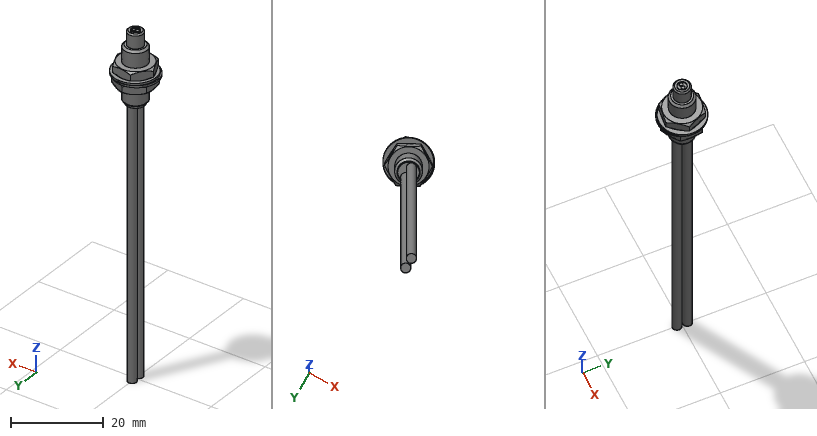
import cadquery as cq
import math

total_height = 88.5
tip_diameter = 4.0
tip_chamfer = 0.35
tip_bore_diameter = 2.2
tip_bore_depth = 0.3
core_diameter = 0.9
core_spacing = 1.0
barrel_diameter = 6.0
barrel_top = 84.9
barrel_bottom = 70.5
barrel_chamfer = 0.5
neck_diameter = 4.7
neck_bottom = 70.0

cable_diameter = 2.2
cable_gap = 0.3

clamp_plane = 77.7
washer_diameter = 11.0
washer_thickness = 0.5
washer_hole_diameter = 6.55
upper_washer_shift = (0.2, 0.0)
lower_washer_shift = (-0.2, -0.2)
nut_across_flats = 9.0
nut_height = 2.4
nut_chamfer_diameter = 8.85
nut_chamfer_angle = 30.0
upper_nut_turn = -7.0
lower_nut_turn = 32.0


def cylinder(diameter, bottom, top):
    return cq.Workplane("XY").workplane(offset=bottom).circle(diameter / 2).extrude(top - bottom)


def make_sensor():
    """Stepped head with two fibre cores in its recessed tip and two cables moulded into its neck."""
    barrel = cylinder(barrel_diameter, barrel_bottom, barrel_top).edges().chamfer(barrel_chamfer)
    tip = cylinder(tip_diameter, barrel_top, total_height).faces(">Z").edges().chamfer(tip_chamfer)
    neck = cylinder(neck_diameter, neck_bottom, barrel_bottom)
    sensor = barrel.union(tip).union(neck)

    recess_floor = total_height - tip_bore_depth
    recess = cylinder(tip_bore_diameter, recess_floor, total_height)
    for side in (-1, 1):
        core = cylinder(core_diameter, recess_floor, total_height)
        recess = recess.cut(core.translate((side * core_spacing / 2, 0, 0)))
    sensor = sensor.cut(recess)

    cable_offset = (cable_diameter + cable_gap) / 2
    for side in (-1, 1):
        cable = cylinder(cable_diameter, 0, neck_bottom)
        sensor = sensor.union(cable.translate((0, side * cable_offset, 0)))
    return sensor


def make_nut(bottom, turn):
    """Hexagon nut with conically chamfered corners at both ends; turn is in degrees about Z."""
    corner_radius = nut_across_flats / math.sqrt(3)
    chamfer_radius = nut_chamfer_diameter / 2
    chamfer_drop = (corner_radius - chamfer_radius) * math.tan(math.radians(nut_chamfer_angle))
    hexagon = cq.Workplane("XY").polygon(6, 2 * corner_radius).extrude(nut_height)
    corner_envelope = (
        cq.Workplane("XZ")
        .polyline([
            (0, 0),
            (chamfer_radius, 0),
            (corner_radius, chamfer_drop),
            (corner_radius, nut_height - chamfer_drop),
            (chamfer_radius, nut_height),
            (0, nut_height),
        ])
        .close()
        .revolve(360, (0, 0, 0), (0, 1, 0))
    )
    nut = hexagon.intersect(corner_envelope).cut(cylinder(barrel_diameter, 0, nut_height))
    return nut.rotate((0, 0, 0), (0, 0, 1), turn).translate((0, 0, bottom))


def make_washer(bottom, shift):
    """Flat washer moved off centre by shift, an (X, Y) pair."""
    top = bottom + washer_thickness
    washer = cylinder(washer_diameter, bottom, top).cut(cylinder(washer_hole_diameter, bottom, top))
    return washer.translate((*shift, 0))


sensor = make_sensor()
washers = [
    make_washer(clamp_plane, upper_washer_shift),
    make_washer(clamp_plane - washer_thickness, lower_washer_shift),
]
nuts = [
    make_nut(clamp_plane + washer_thickness, upper_nut_turn),
    make_nut(clamp_plane - washer_thickness - nut_height, lower_nut_turn),
]

result = cq.Compound.makeCompound([
    sensor.val(),
    *[washer.val() for washer in washers],
    *[nut.val() for nut in nuts],
])